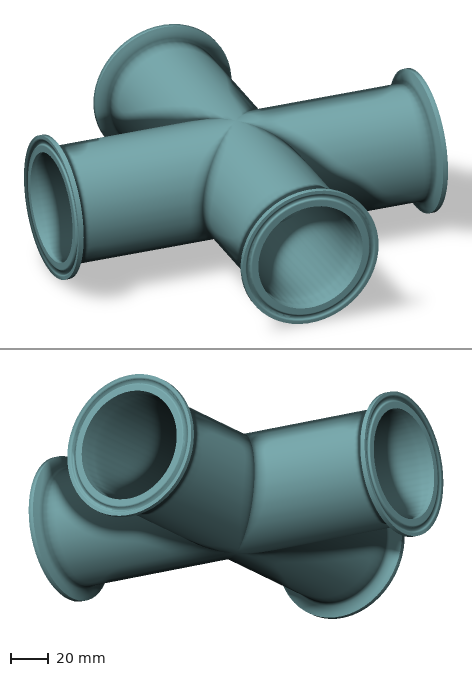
import cadquery as cq
import math

length = 210.0
tube_diameter = 63.5
bore_diameter = 59.5
flange_diameter = 77.5

rim_thickness = 2.7
back_slope = math.radians(20)
blend_radius = 1.7

groove_inner_radius = 33.8
groove_outer_radius = 36.3
groove_depth = 1.3
groove_edge_round = 0.8

half_length = length / 2
tube_radius = tube_diameter / 2
flange_radius = flange_diameter / 2


def make_arm():
    """Solid arm along +Z, from the centre of the cross to a flange face."""
    slope_end_radius = tube_radius + blend_radius * (1 - math.sin(back_slope))
    slope_depth = (flange_radius - slope_end_radius) * math.tan(back_slope)
    rim_back_z = half_length - rim_thickness
    slope_end_z = rim_back_z - slope_depth
    blend_center_z = slope_end_z - blend_radius * math.cos(back_slope)
    blend_center_radius = tube_radius + blend_radius

    middle_angle = (back_slope + math.pi / 2) / 2
    blend_middle = (
        blend_center_radius - blend_radius * math.sin(middle_angle),
        blend_center_z + blend_radius * math.cos(middle_angle),
    )
    groove_middle_radius = (groove_inner_radius + groove_outer_radius) / 2

    arm = (
        cq.Workplane("XZ")
        .lineTo(tube_radius, 0)
        .lineTo(tube_radius, blend_center_z)
        .threePointArc(blend_middle, (slope_end_radius, slope_end_z))
        .lineTo(flange_radius, rim_back_z)
        .lineTo(flange_radius, half_length)
        .lineTo(groove_outer_radius, half_length)
        .threePointArc(
            (groove_middle_radius, half_length - groove_depth),
            (groove_inner_radius, half_length),
        )
        .lineTo(0, half_length)
        .close()
        .revolve(360, (0, 0, 0), (0, 1, 0))
    )
    groove_edges = [
        edge for edge in arm.edges("%CIRCLE and (>Z)").vals()
        if edge.radius() < (groove_outer_radius + flange_radius) / 2
    ]
    return arm.newObject(groove_edges).fillet(groove_edge_round)


def along_y(shape):
    """Turn a shape lying along Z so that it lies along Y."""
    return shape.rotate((0, 0, 0), (1, 0, 0), 90)


first_arm = along_y(make_arm())
result = first_arm
for turn in (90, 180, 270):
    result = result.union(first_arm.rotate((0, 0, 0), (0, 0, 1), turn))

bore = along_y(cq.Workplane("XY").circle(bore_diameter / 2).extrude(half_length, both=True))
for turn in (0, 90):
    result = result.cut(bore.rotate((0, 0, 0), (0, 0, 1), turn))